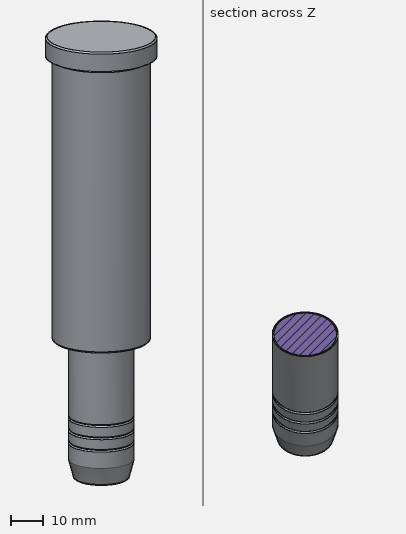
import cadquery as cq
import math

total_length = 140.0
head_diameter = 34.0
shank_diameter = 30.0
pin_diameter = 20.0

head_height = 6.0
shank_bottom = 44.0
tip_height = 6.0
tip_half_angle = 15.0

head_chamfer = 0.5
shank_chamfer = 0.5
tip_chamfer = 0.5

relief_depth = 0.4
relief_width = 1.0
groove_depth = 0.4
groove_width = 0.8
groove_count = 3
lowest_groove_center = 11.6
highest_groove_center = 19.5
groove_pitch = (highest_groove_center - lowest_groove_center) / (groove_count - 1)


def cylinder(diameter, bottom, top):
    """Vertical cylinder on the part axis between two heights."""
    return cq.Workplane("XY").workplane(offset=bottom).circle(diameter / 2).extrude(top - bottom)


def ring_groove(diameter, depth, bottom, width):
    """Ring to cut from a cylinder of the given diameter."""
    inner = cylinder(diameter - 2 * depth, bottom, bottom + width)
    return cylinder(diameter + 2 * depth, bottom, bottom + width).cut(inner)


def vee_groove(diameter, depth, bottom, width):
    """Ring of triangular section to cut from a cylinder of the given diameter."""
    radius = diameter / 2
    mouth = [(radius, bottom), (radius - depth, bottom + width / 2), (radius, bottom + width)]
    return cq.Workplane("XZ").polyline(mouth).close().revolve(360, (0, 0, 0), (0, 1, 0))


def make_head():
    head = cylinder(head_diameter, total_length - head_height, total_length)
    return head.faces(">Z").edges().chamfer(head_chamfer)


def make_shank():
    shank_top = total_length - head_height
    shank = cylinder(shank_diameter, shank_bottom, shank_top)
    shank = shank.faces("<Z").edges().chamfer(shank_chamfer)
    relief_bottom = shank_top - relief_width
    return shank.cut(vee_groove(shank_diameter, relief_depth, relief_bottom, relief_width))


def make_pin():
    tip_inset = tip_height * math.tan(math.radians(tip_half_angle))
    pin = cylinder(pin_diameter, 0, shank_bottom)
    pin = pin.faces("<Z").edges().chamfer(tip_height, tip_inset)
    pin = pin.faces("<Z").edges().chamfer(tip_chamfer)
    relief_bottom = shank_bottom - relief_width
    pin = pin.cut(ring_groove(pin_diameter, relief_depth, relief_bottom, relief_width))
    for index in range(groove_count):
        bottom = lowest_groove_center + index * groove_pitch - groove_width / 2
        pin = pin.cut(vee_groove(pin_diameter, groove_depth, bottom, groove_width))
    return pin


result = make_head().union(make_shank()).union(make_pin())